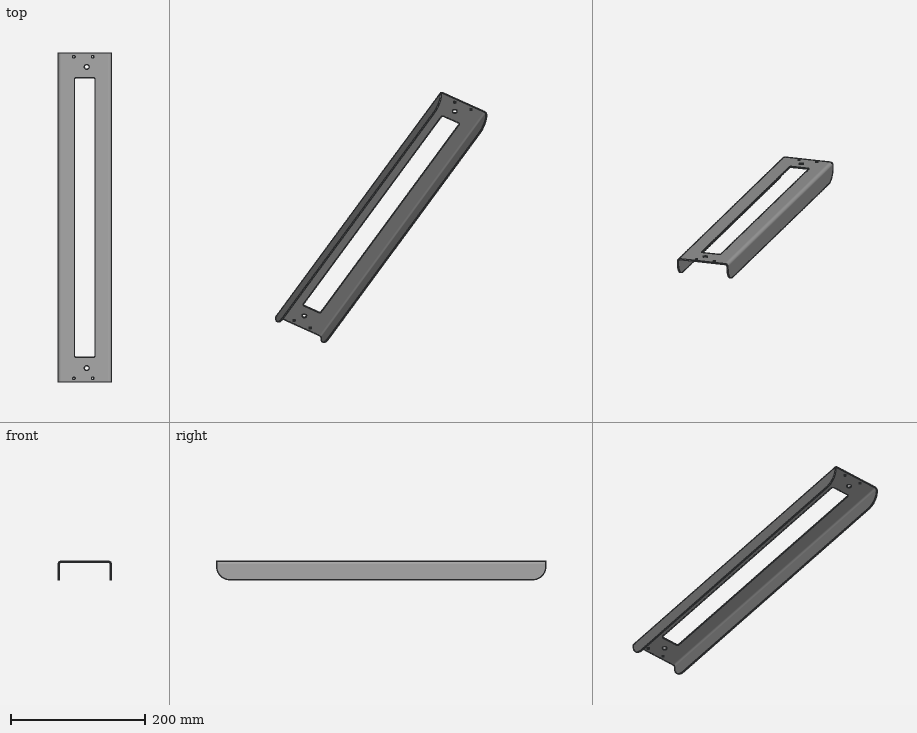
import cadquery as cq

width = 80.0
length = 490.0
height = 28.0
thickness = 2.0

bend_outer_radius = 5.0
bend_inner_radius = bend_outer_radius - thickness
flange_corner_radius = 20.0

slot_width = 30.5
slot_length = 415.5
slot_corner_radius = 2.5

large_hole_diameter = 7.0
large_hole_x = 3.0
large_hole_end_distance = 21.0
small_hole_diameter = 3.5
small_hole_left_x = -16.0
small_hole_right_x = 12.0
small_hole_end_distance = 6.0


def make_block(block_width, block_height, top_edge_radius):
    """Full-length block standing on Z = 0 with its long top edges rounded."""
    block = cq.Workplane("XY").box(block_width, length, block_height, centered=(True, True, False))
    return block.edges("|Y and >Z").fillet(top_edge_radius)


def make_channel():
    """Sheet channel, open downwards, with rounded lower flange corners."""
    outside = make_block(width, height, bend_outer_radius)
    outside = outside.edges("|X and <Z").fillet(flange_corner_radius)
    inside = make_block(width - 2 * thickness, height - thickness, bend_inner_radius)
    return outside.cut(inside)


def make_slot():
    """Rectangular cutter with rounded corners for the central opening."""
    slot = cq.Workplane("XY").rect(slot_width, slot_length).extrude(height)
    return slot.edges("|Z").fillet(slot_corner_radius)


def make_holes(diameter, x_positions, end_distance):
    """Vertical cutters at the given X positions near both ends."""
    y = length / 2 - end_distance
    points = [(x, end * y) for x in x_positions for end in (-1, 1)]
    return cq.Workplane("XY").pushPoints(points).circle(diameter / 2).extrude(height)


small_hole_xs = [small_hole_left_x, small_hole_right_x]

result = (
    make_channel()
    .cut(make_slot())
    .cut(make_holes(large_hole_diameter, [large_hole_x], large_hole_end_distance))
    .cut(make_holes(small_hole_diameter, small_hole_xs, small_hole_end_distance))
)